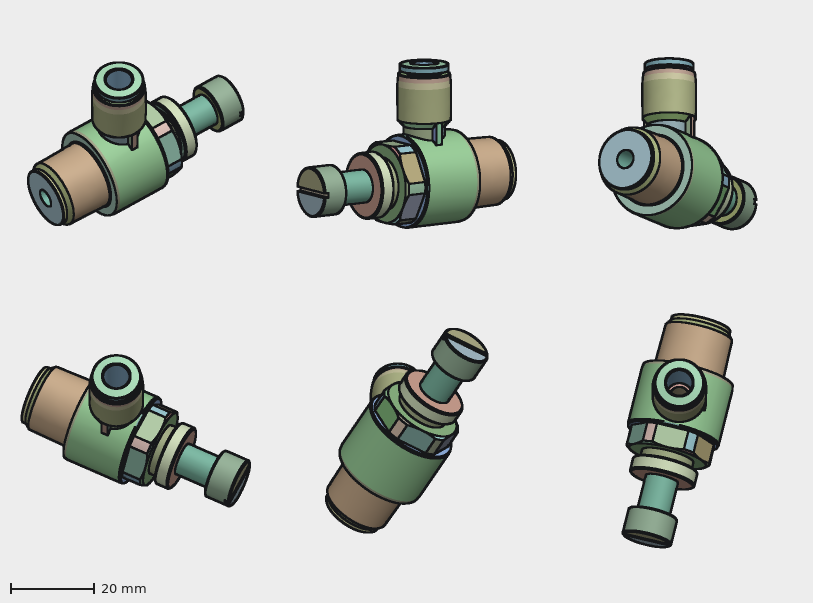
import cadquery as cq

total_length = 54.9
edge_break = 0.15

lead_diameter = 14.6
lead_length = 1.1
thread_tip_diameter = 16.5
thread_tip_y = 2.35
thread_root_diameter = 17.0
thread_root_y = 12.85
thread_flare_diameter = 17.5

body_diameter = 22.5
body_front_y = 13.1
body_back_y = 28.55
body_front_taper = 0.9
body_back_taper = 0.5

hex_across_flats = 19.0
hex_corner_diameter = 20.55
hex_back_y = 33.7
hex_chamfer_length = 0.5
hex_turn = 30

hub_diameter = 12.8
hub_back_y = 35.95
ring_diameter = 16.0
ring_back_y = 39.55
ring_chamfer = 0.35
stem_diameter = 8.0
head_diameter = 12.0
head_front_y = 48.4
head_chamfer = 0.3
slot_width = 1.15
slot_depth = 1.1

port_y = 21.9
port_top_z = 28.45
port_neck_diameter = 10.0
port_neck_top_z = 13.0
barrel_diameter = 13.0
barrel_bottom_diameter = 12.9
barrel_bottom_z = 14.55
cap_bottom_z = 22.8
cap_step_diameter = 12.8
cap_step_z = 24.3
cap_diameter = 12.5
cap_top_z = 25.8
collar_diameter = 11.8
collar_neck_diameter = 8.35
collar_flare_z = 26.3
collar_bottom_z = 26.55
collar_edge_z = 28.1
collar_mouth_diameter = 6.9

rib_thickness = 1.7

bore_diameter = 4.5
tube_socket_diameter = 6.35


def turned_y(profile):
    """Solid of revolution about the Y axis from (radius, y) points."""
    points = [(0, profile[0][1])] + profile + [(0, profile[-1][1])]
    return cq.Workplane("XY").polyline(points).close().revolve(360, (0, 0), (0, 1))


def turned_z(profile):
    """Solid of revolution about the port axis from (radius, z) points."""
    points = [(0, profile[0][1])] + profile + [(0, profile[-1][1])]
    outline = cq.Workplane("XZ", origin=(0, port_y, 0)).polyline(points).close()
    return outline.revolve(360, (0, 0), (0, 1))


def chamfered_disc(diameter, front_y, back_y, chamfer):
    radius = diameter / 2
    return turned_y([
        (radius - chamfer, front_y),
        (radius, front_y + chamfer),
        (radius, back_y - chamfer),
        (radius - chamfer, back_y),
    ])


def thread_stub():
    lead_radius = lead_diameter / 2
    return turned_y([
        (lead_radius - edge_break, 0),
        (lead_radius, edge_break),
        (lead_radius, lead_length),
        (thread_tip_diameter / 2, thread_tip_y),
        (thread_root_diameter / 2, thread_root_y),
        (thread_flare_diameter / 2, body_front_y),
    ])


def main_body():
    radius = body_diameter / 2
    return turned_y([
        (radius - edge_break, body_front_y),
        (radius, body_front_y + body_front_taper),
        (radius, body_back_y - body_back_taper),
        (radius - edge_break, body_back_y),
    ])


def hexagon():
    prism = (
        cq.Workplane("XZ", origin=(0, body_back_y, 0))
        .polygon(6, hex_across_flats, circumscribed=True)
        .extrude(body_back_y - hex_back_y)
        .rotate((0, 0, 0), (0, 1, 0), hex_turn)
    )
    corner_radius = hex_corner_diameter / 2
    envelope = turned_y([
        (corner_radius, body_back_y),
        (corner_radius, hex_back_y - hex_chamfer_length),
        (hex_across_flats / 2, hex_back_y),
    ])
    return prism.intersect(envelope)


def adjusting_screw():
    hub_radius = hub_diameter / 2
    hub = turned_y([
        (hub_radius, hex_back_y),
        (hub_radius, hub_back_y - edge_break),
        (hub_radius - edge_break, hub_back_y),
    ])
    ring = chamfered_disc(ring_diameter, hub_back_y, ring_back_y, ring_chamfer)
    stem_radius = stem_diameter / 2
    stem = turned_y([(stem_radius, ring_back_y), (stem_radius, head_front_y)])
    head = chamfered_disc(head_diameter, head_front_y, total_length, head_chamfer)
    slot = cq.Workplane("XY").box(head_diameter, 2 * slot_depth, slot_width)
    head = head.cut(slot.translate((0, total_length, 0)))
    return hub.union(ring).union(stem).union(head)


def port_body():
    collar_radius = collar_diameter / 2
    cap_radius = cap_diameter / 2
    neck_radius = collar_neck_diameter / 2
    return turned_z([
        (port_neck_diameter / 2, 0),
        (port_neck_diameter / 2, port_neck_top_z),
        (barrel_bottom_diameter / 2, barrel_bottom_z),
        (barrel_diameter / 2, cap_bottom_z),
        (cap_step_diameter / 2, cap_step_z),
        (cap_radius, cap_top_z - edge_break),
        (cap_radius - edge_break, cap_top_z),
        (neck_radius, cap_top_z),
        (neck_radius, collar_flare_z),
        (neck_radius + collar_bottom_z - collar_flare_z, collar_bottom_z),
        (collar_radius, collar_bottom_z),
        (collar_radius, collar_edge_z - edge_break),
        (collar_radius - edge_break, collar_edge_z),
        (collar_mouth_diameter / 2, port_top_z),
    ])


def ribs():
    """One plate through the port axis, showing as a rib on either side."""
    base = cq.Workplane("XY", origin=(0, port_y, 0))
    plate = base.rect(barrel_bottom_diameter, rib_thickness)
    return plate.extrude(barrel_bottom_z)


def flow_passage():
    """Elbow bore with a spherical corner, and the wider tube socket above it."""
    bore_radius = bore_diameter / 2
    socket_radius = tube_socket_diameter / 2
    mouth_radius = collar_mouth_diameter / 2
    inlet = turned_y([(bore_radius, 0), (bore_radius, port_y)])
    corner = cq.Workplane("XY", origin=(0, port_y, 0)).sphere(bore_radius)
    outlet = turned_z([
        (bore_radius, 0),
        (bore_radius, barrel_bottom_z),
        (socket_radius, barrel_bottom_z),
        (socket_radius, port_top_z - (mouth_radius - socket_radius)),
        (mouth_radius, port_top_z),
    ])
    return inlet.union(corner).union(outlet)


result = (
    main_body()
    .union(thread_stub())
    .union(hexagon())
    .union(adjusting_screw())
    .union(port_body())
    .union(ribs())
    .cut(flow_passage())
)